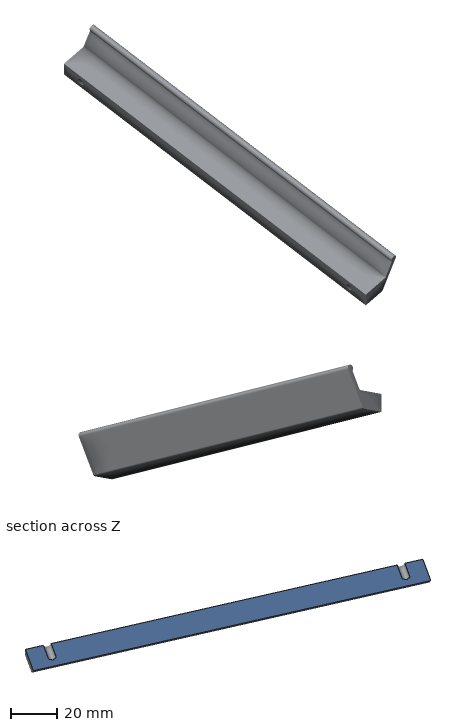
import cadquery as cq
import math

length = 180.0
depth = 19.2
height = 18.5

block_height = 8.0
heel_radius = 1.0
root_radius = 0.5

lean = math.radians(27.6)
wall_thickness = 2.0
bead_radius = 1.5
neck_radius = 0.5

hole_spacing = 160.0
hole_diameter = 3.3
hole_depth = 8.0
hole_height = block_height / 2
drill_point_angle = math.radians(118.0)

bead_y = depth - bead_radius
bead_z = height - bead_radius

rear_offset = bead_radius
front_offset = rear_offset - wall_thickness


def wall_plane_y(offset, z):
    """Y, at height z, of the plane parallel to the wall at this offset from the bead centre."""
    return bead_y + offset / math.cos(lean) - (bead_z - z) * math.tan(lean)


def bead_point(offset, drop):
    """(y, z) of the point at this offset from the bead centre and this drop down along the wall."""
    return (
        bead_y + offset * math.cos(lean) - drop * math.sin(lean),
        bead_z - offset * math.sin(lean) - drop * math.cos(lean),
    )


def round_long_edge(body, corner, radius):
    """Fillet the lengthwise edge that passes through the (y, z) corner."""
    nearest = cq.selectors.NearestToPointSelector((0, *corner))
    return body.edges("|X").edges(nearest).fillet(radius)


def make_bar():
    """Block and leaning wall extruded along X, with the inner root and the rear heel rounded."""
    root = (wall_plane_y(front_offset, block_height), block_height)
    heel = (wall_plane_y(rear_offset, 0), 0)
    bar = (
        cq.Workplane("YZ")
        .moveTo(0, 0)
        .lineTo(*heel)
        .lineTo(*bead_point(rear_offset, 0))
        .lineTo(bead_y, bead_z)
        .lineTo(wall_plane_y(front_offset, bead_z), bead_z)
        .lineTo(*root)
        .lineTo(0, block_height)
        .close()
        .extrude(length / 2, both=True)
    )
    bar = round_long_edge(bar, root, root_radius)
    return round_long_edge(bar, heel, heel_radius)


def add_bead(bar):
    """Add the full-length round bead and fillet the neck where its front meets the wall."""
    bead = (
        cq.Workplane("YZ")
        .center(bead_y, bead_z)
        .circle(bead_radius)
        .extrude(length / 2, both=True)
    )
    half_chord = math.sqrt(bead_radius**2 - front_offset**2)
    neck = bead_point(front_offset, half_chord)
    return round_long_edge(bar.union(bead), neck, neck_radius)


def make_screw_hole(x):
    """Drilled hole with a conical end, entering from the front face."""
    radius = hole_diameter / 2
    tip_depth = hole_depth + radius / math.tan(drill_point_angle / 2)
    return (
        cq.Workplane("XY")
        .polyline([(0, 0), (radius, 0), (radius, hole_depth), (0, tip_depth)])
        .close()
        .revolve(360, (0, 0), (0, 1))
        .translate((x, 0, hole_height))
    )


result = add_bead(make_bar())
for side in (-1, 1):
    result = result.cut(make_screw_hole(side * hole_spacing / 2))